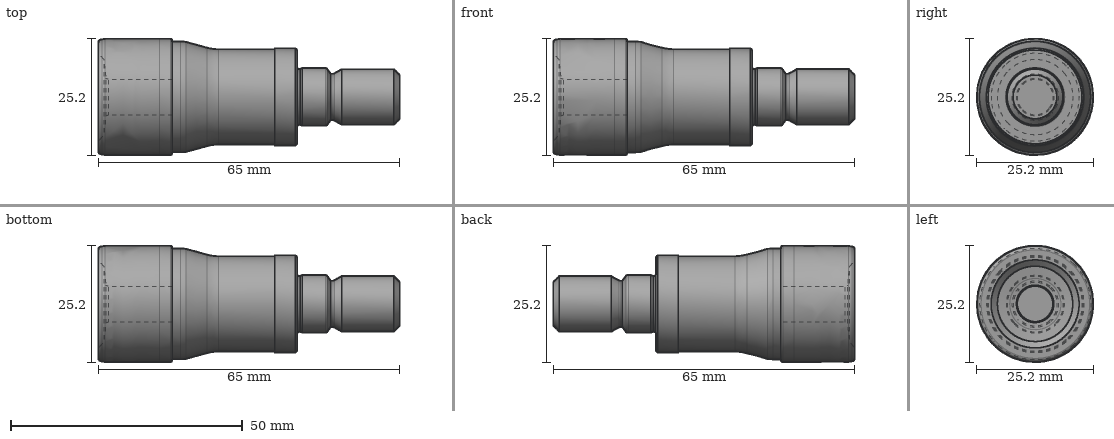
import cadquery as cq
import math

LENGTH = 65.0

CAP_DIAMETER = 25.15
CAP_CROWN_RADIUS = CAP_DIAMETER / 2
CAP_CROWN_HEIGHT = 0.03
CAP_RADIUS = CAP_CROWN_RADIUS - CAP_CROWN_HEIGHT
CAP_LENGTH = 15.9
CAP_NOSE_ROUND = 0.7
CAP_NOSE_RADIUS = 12.4
CAP_CROWN_START = 1.4
CAP_CROWN_END = 13.1
CAP_MOUTH_ROUND = 0.4

RECESS_RADIUS = 9.5
RECESS_FLOOR_RADIUS = 8.1
RECESS_DEPTH = 1.2
SEAT_RADIUS = 5.5
SEAT_DEPTH = 1.5
BORE_MOUTH_RADIUS = 4.0
BORE_MOUTH_DEPTH = 1.6
BORE_RADIUS = 3.85
SPIGOT_START = 2.2

SHOULDER_RADIUS = 24.0 / 2
SHOULDER_END = 17.7
TAPER_START = 18.85
TAPER_START_RADIUS = 11.9
TAPER_END = 23.3
TAPER_END_RADIUS = 10.65
BARREL_START = 25.85
BARREL_RADIUS = 20.6 / 2

FLANGE_RADIUS = 21.0 / 2
FLANGE_START = 38.0
FLANGE_END = 42.9
FLANGE_CHAMFER = 0.4

COLLAR_RADIUS = 12.5 / 2
COLLAR_START = 44.0
COLLAR_END = 49.4
COLLAR_ROUND = 0.5
UNDERCUT_RADIUS = 12.1 / 2
UNDERCUT_ROUND = 0.3
UNDERCUT_END = 43.5

GROOVE_RADIUS = 10.0 / 2
GROOVE_START = 50.1
GROOVE_END = 50.5
GROOVE_ROUND_WIDTH = 0.4
GROOVE_FLANK_ANGLE = 29.0
SHAFT_RADIUS = 12.0 / 2
SHAFT_START = 52.5
SHAFT_CHAMFER = 1.3


def turn(profile):
    """Close a half profile drawn as (x, radius) and revolve it about the X axis."""
    return profile.close().revolve(360, (0, 0, 0), (1, 0, 0))


def make_cap():
    nose_flat_radius = CAP_NOSE_RADIUS - CAP_NOSE_ROUND
    mouth_flat_radius = CAP_RADIUS - CAP_MOUTH_ROUND
    crown_middle = (CAP_CROWN_START + CAP_CROWN_END) / 2
    profile = (
        cq.Workplane("XY")
        .moveTo(0, RECESS_RADIUS)
        .lineTo(0, nose_flat_radius)
        .radiusArc((CAP_NOSE_ROUND, CAP_NOSE_RADIUS), CAP_NOSE_ROUND)
        .lineTo(CAP_CROWN_START, CAP_RADIUS)
        .threePointArc((crown_middle, CAP_CROWN_RADIUS), (CAP_CROWN_END, CAP_RADIUS))
        .lineTo(CAP_LENGTH - CAP_MOUTH_ROUND, CAP_RADIUS)
        .radiusArc((CAP_LENGTH, mouth_flat_radius), CAP_MOUTH_ROUND)
        .lineTo(CAP_LENGTH, BORE_RADIUS)
        .lineTo(SPIGOT_START, BORE_RADIUS)
        .lineTo(BORE_MOUTH_DEPTH, BORE_MOUTH_RADIUS)
        .lineTo(SEAT_DEPTH, SEAT_RADIUS)
        .lineTo(RECESS_DEPTH, RECESS_FLOOR_RADIUS)
    )
    return turn(profile)


def make_body():
    flank_start = GROOVE_END + GROOVE_ROUND_WIDTH
    flank_angle = math.radians(GROOVE_FLANK_ANGLE)
    flank_start_radius = SHAFT_RADIUS - (SHAFT_START - flank_start) * math.tan(flank_angle)

    profile = (
        cq.Workplane("XY")
        .moveTo(SPIGOT_START, 0)
        .lineTo(SPIGOT_START, BORE_RADIUS)
        .lineTo(CAP_LENGTH, BORE_RADIUS)
        .lineTo(CAP_LENGTH, SHOULDER_RADIUS)
        .lineTo(SHOULDER_END, SHOULDER_RADIUS)
        .tangentArcPoint((TAPER_START, TAPER_START_RADIUS), relative=False)
        .lineTo(TAPER_END, TAPER_END_RADIUS)
        .tangentArcPoint((BARREL_START, BARREL_RADIUS), relative=False)
        .lineTo(FLANGE_START, BARREL_RADIUS)
        .lineTo(FLANGE_START, FLANGE_RADIUS)
        .lineTo(FLANGE_END - FLANGE_CHAMFER, FLANGE_RADIUS)
        .lineTo(FLANGE_END, FLANGE_RADIUS - FLANGE_CHAMFER)
        .lineTo(FLANGE_END, UNDERCUT_RADIUS + UNDERCUT_ROUND)
        .radiusArc((FLANGE_END + UNDERCUT_ROUND, UNDERCUT_RADIUS), -UNDERCUT_ROUND)
        .lineTo(UNDERCUT_END, UNDERCUT_RADIUS)
        .lineTo(COLLAR_START, COLLAR_RADIUS)
        .lineTo(COLLAR_END - COLLAR_ROUND, COLLAR_RADIUS)
        .radiusArc((COLLAR_END, COLLAR_RADIUS - COLLAR_ROUND / 2), COLLAR_ROUND)
        .lineTo(GROOVE_START, GROOVE_RADIUS)
        .lineTo(GROOVE_END, GROOVE_RADIUS)
        .tangentArcPoint((flank_start, flank_start_radius), relative=False)
        .lineTo(SHAFT_START, SHAFT_RADIUS)
        .lineTo(LENGTH - SHAFT_CHAMFER, SHAFT_RADIUS)
        .lineTo(LENGTH, SHAFT_RADIUS - SHAFT_CHAMFER)
        .lineTo(LENGTH, 0)
    )
    return turn(profile)


cap = make_cap()
body = make_body()
result = cq.Compound.makeCompound([cap.val(), body.val()])